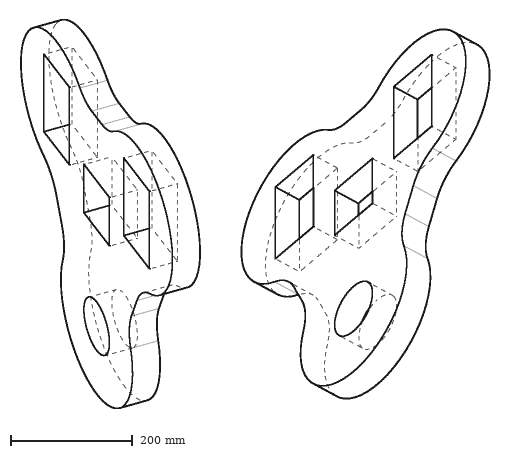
import cadquery as cq
import math

width = 592.0
height = 620.0
thickness = 50.0

lobe_radius = 140.0
lobe_x = width / 2 - lobe_radius
lobe_z = height / 2 - lobe_radius
left_lobe = (-lobe_x, lobe_z)
right_lobe = (lobe_x, lobe_z)
bottom_lobe = (0, -lobe_z)

top_waist_offset = 90.5
top_blend_radius = 70.0
side_waist_offset = 75.5
side_blend_radius = 93.0

opening_width = 100.0
slot_height = 160.0
square_drop = 90.0
square_z = lobe_z - square_drop
hole_diameter = opening_width


def front_plane():
    """Sketch plane on the front face; extruding by minus the thickness reaches the back face."""
    return cq.Workplane("XZ", origin=(0, -thickness / 2, 0))


def waist_points(start, end, offset, blend_radius):
    """Points of the blend, straight edge and blend joining two lobes, going clockwise."""
    length = math.dist(start, end)
    along = ((end[0] - start[0]) / length, (end[1] - start[1]) / length)
    outward = (-along[1], along[0])

    def point(distance, rise):
        return (
            start[0] + distance * along[0] + rise * outward[0],
            start[1] + distance * along[1] + rise * outward[1],
        )

    centre_rise = offset + blend_radius
    centre_reach = math.sqrt((lobe_radius + blend_radius) ** 2 - centre_rise ** 2)
    lobe_share = lobe_radius / (lobe_radius + blend_radius)
    touch_reach = centre_reach * lobe_share
    touch_rise = centre_rise * lobe_share

    chord_reach = (touch_reach + centre_reach) / 2 - centre_reach
    chord_rise = (touch_rise + offset) / 2 - centre_rise
    scale = blend_radius / math.hypot(chord_reach, chord_rise)
    mid_reach = centre_reach + chord_reach * scale
    mid_rise = centre_rise + chord_rise * scale

    return [
        point(touch_reach, touch_rise),
        point(mid_reach, mid_rise),
        point(centre_reach, offset),
        point(length - centre_reach, offset),
        point(length - mid_reach, mid_rise),
        point(length - touch_reach, touch_rise),
    ]


def lobe_outer_point(lobe):
    """Point of a lobe farthest from the middle of the plate."""
    scale = 1 + lobe_radius / math.hypot(*lobe)
    return (lobe[0] * scale, lobe[1] * scale)


def plate():
    """Three-lobed plate without openings."""
    waists = [
        (left_lobe, right_lobe, top_waist_offset, top_blend_radius),
        (right_lobe, bottom_lobe, side_waist_offset, side_blend_radius),
        (bottom_lobe, left_lobe, side_waist_offset, side_blend_radius),
    ]
    paths = [waist_points(*waist) for waist in waists]
    outline = front_plane().moveTo(*paths[0][0])
    for index, path in enumerate(paths):
        next_start = paths[(index + 1) % len(paths)][0]
        next_lobe = waists[index][1]
        outline = (
            outline.threePointArc(path[1], path[2])
            .lineTo(*path[3])
            .threePointArc(path[4], path[5])
            .threePointArc(lobe_outer_point(next_lobe), next_start)
        )
    return outline.close().extrude(-thickness)


def cut_openings(body):
    """Cut the lobe slots, the middle square and the round hole through the plate."""
    slots = front_plane().pushPoints([left_lobe, right_lobe]).rect(opening_width, slot_height)
    square = front_plane().center(0, square_z).rect(opening_width, opening_width)
    hole = front_plane().center(*bottom_lobe).circle(hole_diameter / 2)
    for opening in (slots, square, hole):
        body = body.cut(opening.extrude(-thickness))
    return body


result = cut_openings(plate())